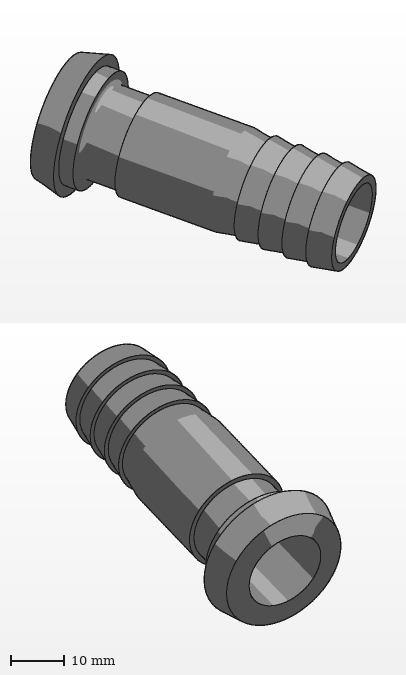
import cadquery as cq

total_length = 62.0
face_crown = 0.45
head_end = 6.0
flange_end = 9.0
body_start = 17.05
barb_count = 5
barbs_start = 37.0
barb_pitch = (total_length - barbs_start) / barb_count

bore_diameter = 16.0
face_diameter = 25.55
head_diameter = 28.5
flange_diameter = 24.0
neck_diameter = 19.0
body_diameter = 21.0
barb_tip_diameter = 19.3

neck_fillet = 0.9


def barb_points():
    """Sawtooth outline: each barb tapers towards the hose end."""
    points = []
    for index in range(barb_count):
        start = barbs_start + index * barb_pitch
        points.append((start, body_diameter / 2))
        points.append((start + barb_pitch, barb_tip_diameter / 2))
    return points


flange_corner_radius = neck_diameter / 2 + neck_fillet
outline = (
    cq.Workplane("XY")
    .moveTo(0, bore_diameter / 2)
    .lineTo(face_crown, face_diameter / 2)
    .lineTo(head_end, head_diameter / 2)
    .lineTo(head_end, flange_diameter / 2)
    .lineTo(flange_end, flange_diameter / 2)
    .lineTo(flange_end, flange_corner_radius)
    .radiusArc((flange_end + neck_fillet, neck_diameter / 2), -neck_fillet)
    .lineTo(body_start, neck_diameter / 2)
    .lineTo(body_start, body_diameter / 2)
)
for point in barb_points():
    outline = outline.lineTo(*point)
outline = outline.lineTo(total_length, bore_diameter / 2).close()

result = outline.revolve(360, (0, 0, 0), (1, 0, 0))